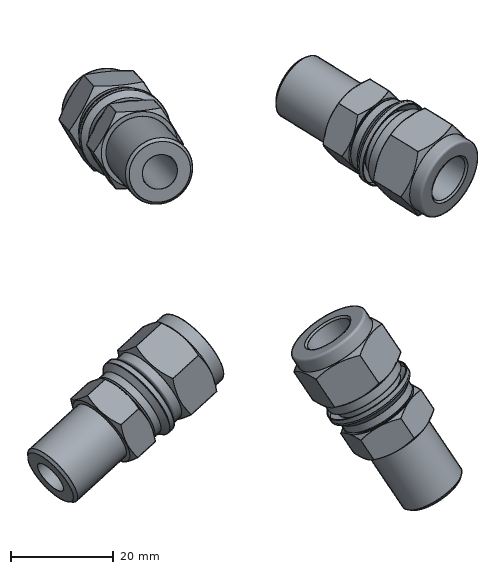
import cadquery as cq
import math

total_length = 40.0

nut_collar_diameter = 17.0
nut_collar_rounding = 0.52
nut_hex_start = 2.95
nut_hex_end = 11.95
nut_across_corners = 20.15
nut_rear_diameter = 16.8
nut_rear_rounding = 0.32
nut_end = 14.0

neck_diameter = 14.3
flange_start = 14.72
flange_diameter = 18.25
flange_rim_end = 16.05
shoulder_start = 17.25
shoulder_diameter = 15.8
shoulder_chamfer = 0.45

recess_mouth_diameter = 17.85
recess_straight_end = 15.8
recess_floor = 16.72
recess_floor_diameter = 13.05
neck_end = 15.7

body_hex_start = 19.35
body_hex_end = 25.8
body_across_flats = 15.9
body_hex_rear_diameter = 15.6

pipe_diameter = 13.7
pipe_chamfer = 0.6

through_diameter = 7.12
socket_diameter = 9.72
socket_depth = 16.8
mouth_diameter = 10.55
mouth_depth = 0.4

hex_chamfer_angle = math.radians(60)


def cylinder(start, end, diameter):
    """Solid cylinder along X."""
    return cq.Workplane("YZ", origin=(start, 0, 0)).circle(diameter / 2).extrude(end - start)


def revolve_profile(points):
    """Revolve a closed outline of (position, radius) points about the X axis."""
    return cq.Workplane("XY").polyline(points).close().revolve(360, (0, 0, 0), (1, 0, 0))


def chamfered_hexagon(start, end, across_corners, front_diameter, rear_diameter):
    """Hexagon with corners on Y, its ends coned down to the given face diameters."""
    corner_radius = across_corners / 2
    front_length = (corner_radius - front_diameter / 2) / math.tan(hex_chamfer_angle)
    rear_length = (corner_radius - rear_diameter / 2) / math.tan(hex_chamfer_angle)
    prism = cq.Workplane("YZ", origin=(start, 0, 0)).polygon(6, across_corners).extrude(end - start)
    envelope = revolve_profile([
        (start, 0),
        (start, front_diameter / 2),
        (start + front_length, corner_radius),
        (end - rear_length, corner_radius),
        (end, rear_diameter / 2),
        (end, 0),
    ])
    return prism.intersect(envelope)


def compression_nut():
    collar = cylinder(0, nut_hex_start, nut_collar_diameter).faces("<X").edges().fillet(nut_collar_rounding)
    hexagon = chamfered_hexagon(
        nut_hex_start, nut_hex_end, nut_across_corners, nut_collar_diameter, nut_rear_diameter
    )
    rear = cylinder(nut_hex_end, nut_end, nut_rear_diameter).faces(">X").edges().fillet(nut_rear_rounding)
    return collar.union(hexagon).union(rear)


def flange_and_shoulder():
    return revolve_profile([
        (nut_end, 0),
        (nut_end, neck_diameter / 2),
        (neck_end, neck_diameter / 2),
        (neck_end, recess_floor_diameter / 2),
        (recess_floor, recess_floor_diameter / 2),
        (recess_straight_end, recess_mouth_diameter / 2),
        (flange_start, recess_mouth_diameter / 2),
        (flange_start, flange_diameter / 2),
        (flange_rim_end, flange_diameter / 2),
        (shoulder_start, shoulder_diameter / 2),
        (body_hex_start - shoulder_chamfer, shoulder_diameter / 2),
        (body_hex_start, shoulder_diameter / 2 - shoulder_chamfer),
        (body_hex_start, 0),
    ])


def body_hexagon():
    across_corners = body_across_flats / math.cos(math.radians(30))
    return chamfered_hexagon(
        body_hex_start, body_hex_end, across_corners, body_across_flats, body_hex_rear_diameter
    )


def pipe_end():
    return cylinder(body_hex_end, total_length, pipe_diameter).faces(">X").edges().chamfer(pipe_chamfer)


def bores():
    """Stepped tube socket with a coned mouth, opening into the through bore."""
    return revolve_profile([
        (0, 0),
        (0, mouth_diameter / 2),
        (mouth_depth, socket_diameter / 2),
        (socket_depth, socket_diameter / 2),
        (socket_depth, through_diameter / 2),
        (total_length, through_diameter / 2),
        (total_length, 0),
    ])


outside = compression_nut().union(flange_and_shoulder()).union(body_hexagon()).union(pipe_end())
result = outside.cut(bores())